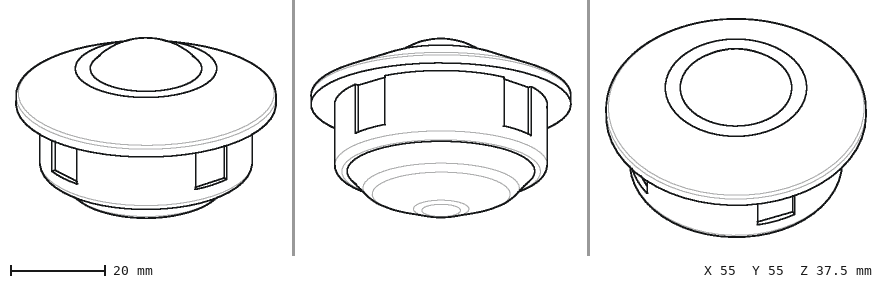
import cadquery as cq
import math

total_height = 37.5
collar_top = 31.8
rim_corner = 25.95
flange_bottom = 23.6
pocket_bottom = 12.7
body_bottom = 8.7
base_bend = 4.05

flange_radius = 27.5
collar_top_radius = 14.95
ball_radius = 15.0
body_radius = 22.5
base_top_radius = 19.85
base_bend_radius = 15.75
base_bottom_radius = 5.0

rim_rounding = 0.75
body_rounding = 1.5
base_rounding = 5.0

pocket_count = 4
pocket_width = 8.45
pocket_floor = 21.25

ball_center = total_height - ball_radius
ball_opening_radius = math.sqrt(ball_radius**2 - (collar_top - ball_center)**2)


def revolve_about_z(half_profile):
    return half_profile.close().revolve(360, (0, 0, 0), (0, 1, 0))


def edge_circle_at(height):
    """Select the circular edge of a revolved solid at a given height."""
    margin = 0.05
    reach = 2 * flange_radius
    return cq.selectors.BoxSelector(
        (-reach, -reach, height - margin), (reach, reach, height + margin), boundingbox=True
    )


def make_base():
    """Rounded double cone closing the underside."""
    base = revolve_about_z(
        cq.Workplane("XZ")
        .moveTo(0, 0)
        .lineTo(base_bottom_radius, 0)
        .lineTo(base_bend_radius, base_bend)
        .lineTo(base_top_radius, body_bottom)
        .lineTo(0, body_bottom)
    )
    base = base.edges(edge_circle_at(base_bend)).fillet(base_rounding)
    return base.edges(edge_circle_at(0)).fillet(base_rounding)


def make_body():
    """Cylindrical body with a pocket on each side, open up to the flange."""
    body_height = flange_bottom - body_bottom
    body = cq.Workplane("XY").workplane(offset=body_bottom).circle(body_radius).extrude(body_height)
    body = body.faces("<Z").edges().fillet(body_rounding)
    pocket = cq.Workplane("XY").box(
        flange_radius - pocket_floor,
        pocket_width,
        flange_bottom - pocket_bottom,
        centered=(False, True, False),
    ).translate((pocket_floor, 0, pocket_bottom))
    for index in range(pocket_count):
        body = body.cut(pocket.rotate((0, 0, 0), (0, 0, 1), index * 360 / pocket_count))
    return body


def make_flange():
    """Sloped collar with a rounded outer rim."""
    flange = revolve_about_z(
        cq.Workplane("XZ")
        .moveTo(0, flange_bottom)
        .lineTo(flange_radius, flange_bottom)
        .lineTo(flange_radius, rim_corner)
        .lineTo(collar_top_radius, collar_top)
        .lineTo(0, collar_top)
    )
    return flange.edges(edge_circle_at(rim_corner)).fillet(rim_rounding)


def make_ball_cap():
    """Part of the ball that stands above the collar."""
    middle_angle = math.acos(ball_opening_radius / ball_radius) / 2 + math.pi / 4
    middle_point = (
        ball_radius * math.cos(middle_angle),
        ball_center + ball_radius * math.sin(middle_angle),
    )
    return revolve_about_z(
        cq.Workplane("XZ")
        .moveTo(0, collar_top)
        .lineTo(ball_opening_radius, collar_top)
        .threePointArc(middle_point, (0, total_height))
    )


result = make_base().union(make_body()).union(make_flange()).union(make_ball_cap())